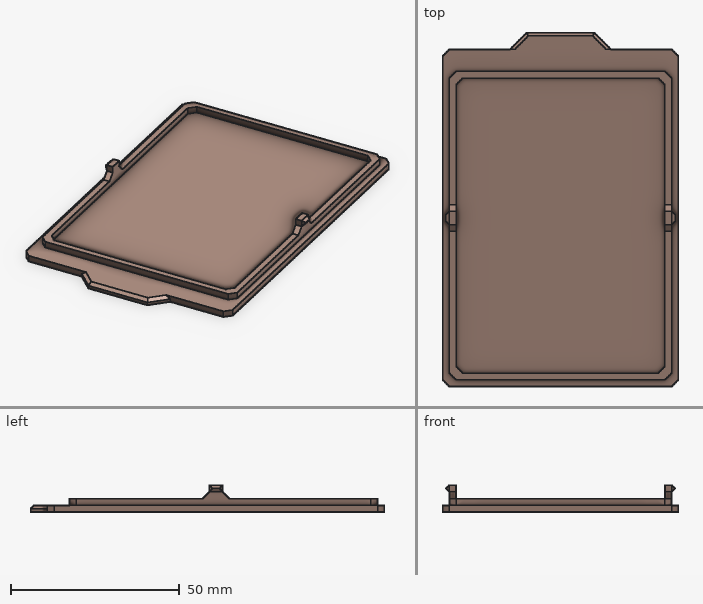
import cadquery as cq

PLATE_WIDTH = 70.0
PLATE_LENGTH = 100.0
PLATE_THICKNESS = 2.0
CORNER_CUT = 2.0

TAB_REACH = 5.0
TAB_ROOT_WIDTH = 30.0
TAB_TIP_WIDTH = TAB_ROOT_WIDTH - 2 * TAB_REACH
TAB_BEVEL = 1.0

RIM_SIDE_MARGIN = 2.0
RIM_FRONT_MARGIN = 2.0
RIM_BACK_MARGIN = 6.5
RIM_WALL = 2.0
RIM_HEIGHT = 2.0
RIM_WIDTH = PLATE_WIDTH - 2 * RIM_SIDE_MARGIN
RIM_LENGTH = PLATE_LENGTH - RIM_FRONT_MARGIN - RIM_BACK_MARGIN
RIM_CENTER_Y = (RIM_FRONT_MARGIN - RIM_BACK_MARGIN) / 2
RIM_TOP = PLATE_THICKNESS + RIM_HEIGHT

CLIP_ROOT_LENGTH = 8.0
CLIP_HEAD_LENGTH = 4.0
CLIP_FLARE_HEIGHT = 2.0
CLIP_HEAD_HEIGHT = 2.0
CLIP_SHOULDER = RIM_TOP + CLIP_FLARE_HEIGHT
CLIP_TOP = CLIP_SHOULDER + CLIP_HEAD_HEIGHT

CATCH_REACH = CLIP_HEAD_HEIGHT / 2
CATCH_RIDGE_LENGTH = CLIP_HEAD_LENGTH - 2 * CATCH_REACH


def cut_corner_block(width, length, height):
    """Rectangular block on Z = 0 with its four upright corners cut at 45 degrees."""
    block = cq.Workplane("XY").box(width, length, height, centered=(True, True, False))
    return block.edges("|Z").chamfer(CORNER_CUT)


def make_tab():
    """Trapezoidal tab, bevelled along its sides and tip but not along its root."""
    root_y = PLATE_LENGTH / 2
    tip_y = root_y + TAB_REACH
    overlap = 2 * TAB_BEVEL
    inner_half_width = TAB_ROOT_WIDTH / 2 + overlap
    tab = (
        cq.Workplane("XY")
        .polyline([
            (-inner_half_width, root_y - overlap),
            (inner_half_width, root_y - overlap),
            (TAB_TIP_WIDTH / 2, tip_y),
            (-TAB_TIP_WIDTH / 2, tip_y),
        ])
        .close()
        .extrude(PLATE_THICKNESS)
    )
    return tab.faces(">Z").edges("not <Y").chamfer(TAB_BEVEL)


def make_rim():
    """Closed wall of even thickness around the tray area."""
    outer = cut_corner_block(RIM_WIDTH, RIM_LENGTH, RIM_HEIGHT)
    inner = cut_corner_block(RIM_WIDTH - 2 * RIM_WALL, RIM_LENGTH - 2 * RIM_WALL, RIM_HEIGHT)
    return outer.cut(inner).translate((0, RIM_CENTER_Y, PLATE_THICKNESS))


def make_catch(outer_x):
    """Hipped wedge pointing to +X from the outer face of a clip head."""
    ridge_x = outer_x + CATCH_REACH
    mid_z = CLIP_SHOULDER + CLIP_HEAD_HEIGHT / 2
    wedge = (
        cq.Workplane("XZ")
        .polyline([(outer_x, CLIP_SHOULDER), (ridge_x, mid_z), (outer_x, CLIP_TOP)])
        .close()
        .extrude(CLIP_HEAD_LENGTH / 2, both=True)
    )
    hip_outline = (
        cq.Workplane("XY", origin=(0, 0, CLIP_SHOULDER))
        .polyline([
            (outer_x, -CLIP_HEAD_LENGTH / 2),
            (ridge_x, -CATCH_RIDGE_LENGTH / 2),
            (ridge_x, CATCH_RIDGE_LENGTH / 2),
            (outer_x, CLIP_HEAD_LENGTH / 2),
        ])
        .close()
        .extrude(CLIP_HEAD_HEIGHT)
    )
    return wedge.intersect(hip_outline)


def make_clip():
    """Clip on the +X rim wall: flared foot, straight head and catch."""
    outer_x = RIM_WIDTH / 2
    body = (
        cq.Workplane("YZ", origin=(outer_x - RIM_WALL, 0, 0))
        .polyline([
            (-CLIP_ROOT_LENGTH / 2, RIM_TOP),
            (CLIP_ROOT_LENGTH / 2, RIM_TOP),
            (CLIP_HEAD_LENGTH / 2, CLIP_SHOULDER),
            (CLIP_HEAD_LENGTH / 2, CLIP_TOP),
            (-CLIP_HEAD_LENGTH / 2, CLIP_TOP),
            (-CLIP_HEAD_LENGTH / 2, CLIP_SHOULDER),
        ])
        .close()
        .extrude(RIM_WALL)
    )
    return body.union(make_catch(outer_x))


plate = cut_corner_block(PLATE_WIDTH, PLATE_LENGTH, PLATE_THICKNESS)
right_clip = make_clip()
left_clip = right_clip.mirror("YZ")

result = plate.union(make_tab()).union(make_rim()).union(right_clip).union(left_clip).clean()